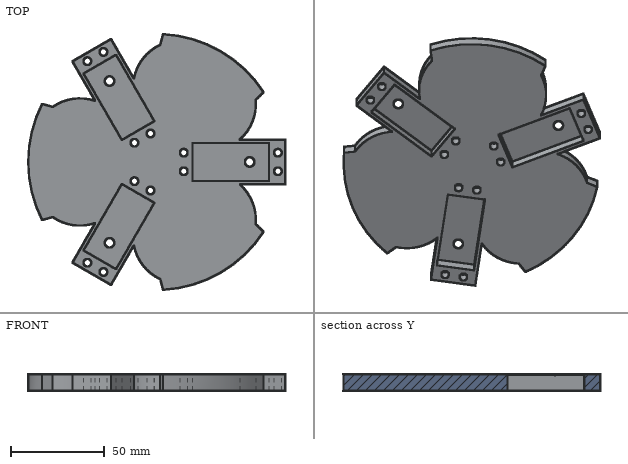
import cadquery as cq
import math

thickness = 9.0
disc_radius = 68.5
arm_count = 3
arm_tip = 69.0
arm_half_width = 12.0

root_x = 44.7
curve_mid = (51.5, 21.7)
curve_end = (53.2, 33.1)
rim_angle = 33.0

small_hole = 4.0
large_hole = 5.0
pair_half_spacing = 5.0
inner_pair_x = 14.7
outer_pair_x = 65.0
large_hole_x = 49.9

pocket_length = 41.0
pocket_width = 20.1
pocket_roof = 0.5
pocket_x = (inner_pair_x + outer_pair_x) / 2


def on_rim(angle):
    """Point on the disc edge at an angle in degrees."""
    return (
        disc_radius * math.cos(math.radians(angle)),
        disc_radius * math.sin(math.radians(angle)),
    )


def mirrored(point):
    """Point reflected across the arm axis."""
    return (point[0], -point[1])


def arm_clearance():
    """Opening through the disc edge around an arm, arm included."""
    rim_corner = on_rim(rim_angle)
    root = (root_x, arm_half_width)
    beyond_rim = (2 * disc_radius, rim_corner[1])
    return (
        cq.Workplane("XY")
        .moveTo(*root)
        .threePointArc(curve_mid, curve_end)
        .lineTo(*rim_corner)
        .lineTo(*beyond_rim)
        .lineTo(*mirrored(beyond_rim))
        .lineTo(*mirrored(rim_corner))
        .lineTo(*mirrored(curve_end))
        .threePointArc(mirrored(curve_mid), mirrored(root))
        .close()
        .extrude(thickness)
    )


def arm():
    """Rectangular arm along +X, starting at the disc centre."""
    return cq.Workplane("XY").box(
        arm_tip, 2 * arm_half_width, thickness, centered=(False, True, False)
    )


def arm_holes():
    """Through holes on and behind one arm."""
    pairs = [
        (x, side * pair_half_spacing)
        for x in (inner_pair_x, outer_pair_x)
        for side in (-1, 1)
    ]
    small = cq.Workplane("XY").pushPoints(pairs).circle(small_hole / 2).extrude(thickness)
    large = cq.Workplane("XY").center(large_hole_x, 0).circle(large_hole / 2).extrude(thickness)
    return small.union(large)


def underside_pocket():
    """Pocket open to the bottom face, below the large hole."""
    depth = thickness - pocket_roof
    return (
        cq.Workplane("XY")
        .center(pocket_x, 0)
        .rect(pocket_length, pocket_width)
        .extrude(depth)
    )


def around(feature, index):
    """Feature turned from the +X arm to the arm with this index."""
    return feature.rotate((0, 0, 0), (0, 0, 1), index * 360 / arm_count)


plate = cq.Workplane("XY").circle(disc_radius).extrude(thickness)
for i in range(arm_count):
    plate = plate.cut(around(arm_clearance(), i))
    plate = plate.union(around(arm(), i))
    plate = plate.cut(around(underside_pocket(), i))
    plate = plate.cut(around(arm_holes(), i))

result = plate